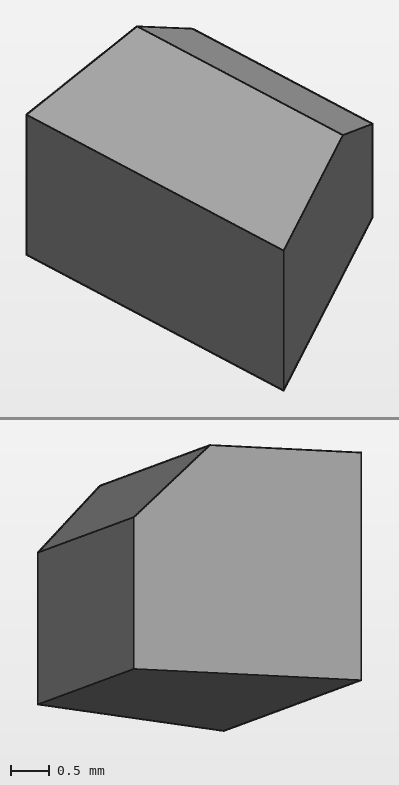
import cadquery as cq

front_width = 4.0
back_width = 2.8
depth = 2.99
height = 3.0
chamfer_size = 1.0


def tapered_block():
    """Block whose sides converge evenly from the front face (Y = 0) to the back face."""
    outline = [
        (-front_width / 2, 0),
        (front_width / 2, 0),
        (back_width / 2, depth),
        (-back_width / 2, depth),
    ]
    return cq.Workplane("XY").polyline(outline).close().extrude(height)


def chamfer_top_back_edge(block):
    """Bevel the edge where the top face meets the back face at 45 degrees."""
    return block.faces(">Y").edges(">Z").chamfer(chamfer_size)


result = chamfer_top_back_edge(tapered_block())